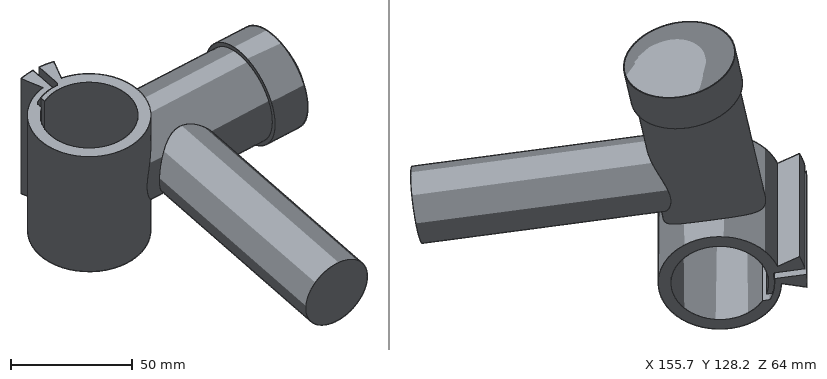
import cadquery as cq
import math

height = 64.0
sleeve_radius = 25.4
bore_radius = 20.1

ear_tip_radius = 35.8
ear_tip_half_width = 8.5
ear_root_half_width = 4.8
slot_half_width = 1.5

lap_radius = 22.6
lap_clearance = 0.2
tongue_radius = lap_radius - lap_clearance
tongue_end_y = -9.3
recess_end_y = -12.6
corner_radius = 1.4

stem_radius = 21.5
cap_radius = 23.4
cap_start_y = 78.5
cap_length = 17.1
dome_radius = 23.0
dome_height = 7.2

arm_radius = 16.0
arm_y = 36.0
arm_end_x = 119.9


def on_circle(radius, y):
    """Point at height y on the -X half of a circle about the Z axis."""
    return (-math.sqrt(radius**2 - y**2), y)


def base_plane():
    """Horizontal plane at the bottom of the sleeve; Z = 0 is at mid-height."""
    return cq.Workplane("XY").workplane(offset=-height / 2)


def round_corner(solid, corner):
    """Round the one vertical edge of a solid that passes through a corner point."""
    selector = cq.selectors.NearestToPointSelector((*corner, 0))
    return solid.edges("|Z").edges(selector).fillet(corner_radius)


def cylinder(radius):
    """Full-height cylinder on the Z axis, centred on Z = 0."""
    return base_plane().circle(radius).extrude(height)


def make_ears():
    """Flared clamp ears as one wedge, rounded about the sleeve axis at the tip."""
    upper_tip = on_circle(ear_tip_radius, ear_tip_half_width)
    lower_tip = on_circle(ear_tip_radius, -ear_tip_half_width)
    return (
        base_plane()
        .moveTo(-lap_radius, ear_root_half_width)
        .lineTo(*on_circle(sleeve_radius, ear_root_half_width))
        .lineTo(*upper_tip)
        .threePointArc((-ear_tip_radius, 0), lower_tip)
        .lineTo(*on_circle(sleeve_radius, -ear_root_half_width))
        .lineTo(-lap_radius, -ear_root_half_width)
        .close()
        .extrude(height)
    )


def make_split():
    """Void between the ears, along the thin gap outside the tongue and into the bore past its end."""
    slot_corner = on_circle(tongue_radius, slot_half_width)
    recess_corner = on_circle(lap_radius, recess_end_y)
    slot_mouth_x = -ear_tip_radius - 1.5
    split = (
        base_plane()
        .moveTo(slot_mouth_x, slot_half_width)
        .lineTo(*slot_corner)
        .threePointArc(
            on_circle(tongue_radius, tongue_end_y / 2), on_circle(tongue_radius, tongue_end_y)
        )
        .lineTo(0, tongue_end_y)
        .lineTo(0, recess_end_y)
        .lineTo(*recess_corner)
        .threePointArc(
            on_circle(lap_radius, recess_end_y / 2), on_circle(lap_radius, -slot_half_width)
        )
        .lineTo(slot_mouth_x, -slot_half_width)
        .close()
        .extrude(height)
    )
    return round_corner(round_corner(split, slot_corner), recess_corner)


def make_stem():
    """Solid stem and domed cap, revolved about the Y axis."""
    cap_end_y = cap_start_y + cap_length
    dome_tip_y = cap_end_y + dome_height
    sphere_radius = (dome_radius**2 + dome_height**2) / (2 * dome_height)
    middle_x = dome_radius / 2
    middle_y = dome_tip_y - sphere_radius + math.sqrt(sphere_radius**2 - middle_x**2)
    return (
        cq.Workplane("XY")
        .moveTo(0, 0)
        .lineTo(stem_radius, 0)
        .lineTo(stem_radius, cap_start_y)
        .lineTo(cap_radius, cap_start_y)
        .lineTo(cap_radius, cap_end_y)
        .lineTo(dome_radius, cap_end_y)
        .threePointArc((middle_x, middle_y), (0, dome_tip_y))
        .close()
        .revolve(360, (0, 0, 0), (0, 1, 0))
    )


def make_arm():
    """Solid round arm, starting inside the stem."""
    return cq.Workplane("YZ").center(arm_y, 0).circle(arm_radius).extrude(arm_end_x)


def make_sleeve():
    """Split sleeve with its ears, split and lapped tongue."""
    blank = cylinder(sleeve_radius).union(make_ears())
    return blank.cut(cylinder(bore_radius)).cut(make_split())


branches = make_stem().union(make_arm()).cut(cylinder(lap_radius))
result = make_sleeve().union(branches)